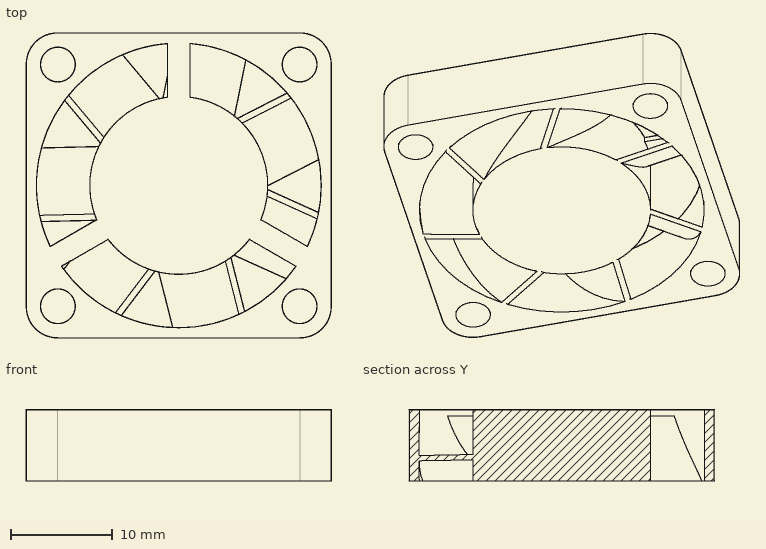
import cadquery as cq
import math

side = 30.0
height = 7.02
corner_radius = 3.1
bore_diameter = 28.0
hole_diameter = 3.4
hole_spacing = 23.75

hub_diameter = 17.5
spoke_count = 3
spoke_width = 2.25
spoke_thickness = 0.6
first_spoke_angle = 90.0

blade_count = 7
first_blade_angle = 27.1
blade_top = height - spoke_thickness
blade_lead = 3.25
blade_trail = 4.02
blade_edge_width = 0.63
blade_sag = 0.75

bore_radius = bore_diameter / 2
hub_radius = hub_diameter / 2
overlap = 0.3


def make_frame():
    frame = cq.Workplane("XY").rect(side, side).extrude(height).edges("|Z").fillet(corner_radius)
    bore = cq.Workplane("XY").circle(bore_radius).extrude(height)
    holes = (
        cq.Workplane("XY")
        .rect(hole_spacing, hole_spacing, forConstruction=True)
        .vertices()
        .circle(hole_diameter / 2)
        .extrude(height)
    )
    return frame.cut(bore).cut(holes)


def make_spoke(angle):
    length = bore_radius + overlap
    return (
        cq.Workplane("XY", origin=(0, 0, blade_top))
        .center(length / 2, 0)
        .rect(length, spoke_width)
        .extrude(spoke_thickness)
        .rotate((0, 0, 0), (0, 0, 1), angle)
    )


def sagged_middle(start, end):
    """Point blade_sag below the middle of the chord, square to it."""
    run = end[0] - start[0]
    drop = end[1] - start[1]
    chord = math.hypot(run, drop)
    mid_y = (start[0] + end[0]) / 2
    mid_z = (start[1] + end[1]) / 2
    return (mid_y - blade_sag * drop / chord, mid_z + blade_sag * run / chord)


def make_blade(angle):
    top_inner = (blade_lead - blade_edge_width, blade_top)
    top_outer = (blade_lead, blade_top)
    bottom_inner = (-blade_trail, 0)
    bottom_outer = (blade_edge_width - blade_trail, 0)
    blade = (
        cq.Workplane("YZ")
        .moveTo(*top_inner)
        .threePointArc(sagged_middle(top_inner, bottom_inner), bottom_inner)
        .lineTo(*bottom_outer)
        .threePointArc(sagged_middle(top_outer, bottom_outer), top_outer)
        .close()
        .extrude(bore_radius + overlap)
    )
    bore_limit = cq.Workplane("XY").circle(bore_radius + overlap / 2).extrude(height)
    hub_space = cq.Workplane("XY").circle(hub_radius - overlap).extrude(height)
    return blade.intersect(bore_limit).cut(hub_space).rotate((0, 0, 0), (0, 0, 1), angle)


result = make_frame()
result = result.union(cq.Workplane("XY").circle(hub_radius).extrude(height))
for index in range(spoke_count):
    result = result.union(make_spoke(first_spoke_angle + index * 360 / spoke_count))
for index in range(blade_count):
    result = result.union(make_blade(first_blade_angle + index * 360 / blade_count))